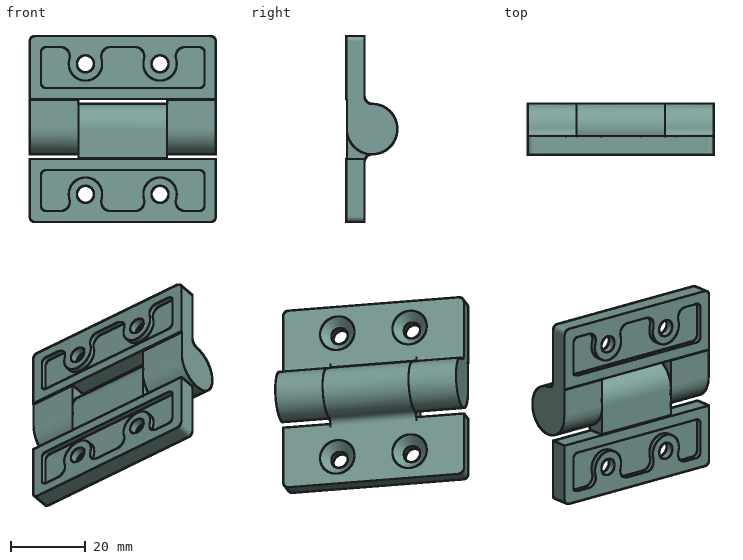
import cadquery as cq
import math


hinge_width = 50.0
hinge_height = 50.0

barrel_radius = 6.8
knuckle_setback = 0.2
middle_knuckle_width = 23.75
root_fillet_radius = 2.0

plate_thickness = 5.0
plate_inner_edge = 8.0
plate_corner_radius = 1.5

hole_diameter = 4.5
countersink_depth = 2.5
hole_spacing = 20.0
hole_distance_from_axis = 17.5

pocket_margin = 3.0
pocket_depth = 1.5
pocket_corner_radius = 1.5
boss_radius = 4.5
boss_blend_radius = 2.5

plate_front = -(barrel_radius + knuckle_setback)
plate_back = plate_front + plate_thickness
plate_outer_edge = hinge_height / 2
side_knuckle_width = (hinge_width - middle_knuckle_width) / 2
side_knuckle_center = (hinge_width - side_knuckle_width) / 2
hole_centers = [(side * hole_spacing / 2, hole_distance_from_axis) for side in (-1, 1)]
pocket_half_width = hinge_width / 2 - pocket_margin
pocket_top = plate_outer_edge - pocket_margin
pocket_bottom = plate_inner_edge + pocket_margin


def front_plane():
    """Sketch plane on the plate front: local x is X, local y is Z, extrusion goes to -Y."""
    return cq.Workplane("XZ", origin=(0, plate_front, 0))


def plate():
    """Flat leaf plate with its two outer corners rounded."""
    plate_height = plate_outer_edge - plate_inner_edge
    return (
        front_plane()
        .center(0, plate_inner_edge + plate_height / 2)
        .rect(hinge_width, plate_height)
        .extrude(-plate_thickness)
        .edges("|Y and >Z")
        .fillet(plate_corner_radius)
    )


def knuckle(center_x, width):
    """Barrel blended into the plate back, with a flat front set back by a 45 degree step."""
    blend_y = plate_back + root_fillet_radius
    blend_z = math.sqrt((barrel_radius + root_fillet_radius) ** 2 - blend_y**2)
    reach = barrel_radius / (barrel_radius + root_fillet_radius)
    tangent_point = (blend_y * reach, blend_z * reach)
    to_tangent = math.atan2(tangent_point[1] - blend_z, tangent_point[0] - blend_y)
    middle_angle = (to_tangent - math.pi) / 2
    blend_middle = (
        blend_y + root_fillet_radius * math.cos(middle_angle),
        blend_z + root_fillet_radius * math.sin(middle_angle),
    )
    diagonal = barrel_radius * math.sqrt(0.5)
    return (
        cq.Workplane("YZ", origin=(center_x, 0, 0))
        .moveTo(-barrel_radius, 0)
        .threePointArc((diagonal, -diagonal), tangent_point)
        .threePointArc(blend_middle, (plate_back, blend_z))
        .lineTo(plate_front, blend_z)
        .lineTo(plate_front, plate_inner_edge)
        .lineTo(-barrel_radius, plate_inner_edge - knuckle_setback)
        .close()
        .extrude(width / 2, both=True)
    )


def boss(center_x):
    """Material left standing around one screw hole, flared out to the pocket's outer wall."""
    blend_z = pocket_top - boss_blend_radius
    rise = blend_z - hole_distance_from_axis
    center_distance = boss_radius + boss_blend_radius
    spread = math.sqrt(center_distance**2 - rise**2)
    reach = boss_radius / center_distance
    touch_x = spread * reach
    touch_z = hole_distance_from_axis + rise * reach
    start_angle = math.atan2(-rise, -spread) + 2 * math.pi
    middle_angle = (start_angle + math.pi / 2) / 2
    flare_x = spread + boss_blend_radius * math.cos(middle_angle)
    flare_z = blend_z + boss_blend_radius * math.sin(middle_angle)
    return (
        front_plane()
        .center(center_x, 0)
        .moveTo(-spread, pocket_top)
        .threePointArc((-flare_x, flare_z), (-touch_x, touch_z))
        .threePointArc((0, hole_distance_from_axis - boss_radius), (touch_x, touch_z))
        .threePointArc((flare_x, flare_z), (spread, pocket_top))
        .close()
        .extrude(-pocket_depth)
    )


def pocket():
    """Shallow front recess that runs around the screw bosses."""
    pocket_height = pocket_top - pocket_bottom
    recess = (
        front_plane()
        .center(0, pocket_bottom + pocket_height / 2)
        .rect(2 * pocket_half_width, pocket_height)
        .extrude(-pocket_depth)
        .edges("|Y")
        .fillet(pocket_corner_radius)
    )
    for center_x, _ in hole_centers:
        recess = recess.cut(boss(center_x))
    return recess


def screw_hole(center_x, center_z):
    """Through hole with a 90 degree countersink opening at the plate back."""
    hole_radius = hole_diameter / 2
    countersink_radius = hole_radius + countersink_depth
    return (
        cq.Workplane("XY", origin=(center_x, 0, center_z))
        .moveTo(0, plate_front)
        .lineTo(hole_radius, plate_front)
        .lineTo(hole_radius, plate_back - countersink_depth)
        .lineTo(countersink_radius, plate_back)
        .lineTo(0, plate_back)
        .close()
        .revolve(360, (0, 0), (0, 1))
    )


def leaf(knuckles):
    """One leaf above the hinge axis, carrying the given (center, width) knuckles."""
    body = plate()
    for center_x, width in knuckles:
        body = body.union(knuckle(center_x, width))
    body = body.cut(pocket())
    for center_x, center_z in hole_centers:
        body = body.cut(screw_hole(center_x, center_z))
    return body


upper_leaf = leaf([(side * side_knuckle_center, side_knuckle_width) for side in (-1, 1)])
lower_leaf = leaf([(0, middle_knuckle_width)]).mirror("XY")

result = cq.Compound.makeCompound([upper_leaf.val(), lower_leaf.val()])